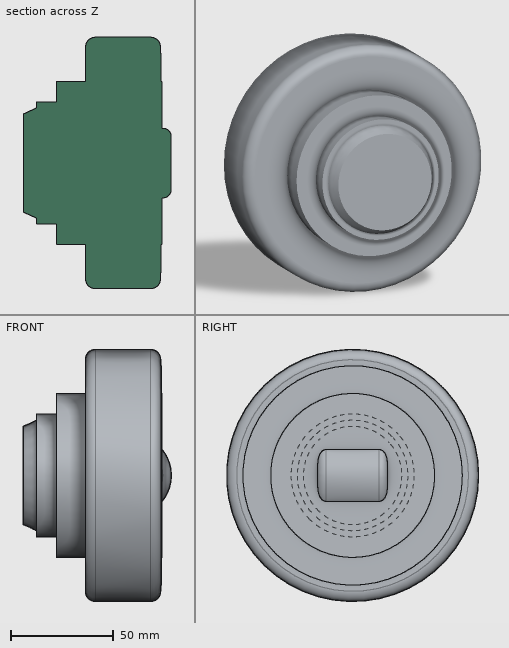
import cadquery as cq
import math

NOSE_TIP_RADIUS = 24.0
NOSE_BASE_RADIUS = 27.0
NECK_RADIUS = 30.0
SHOULDER_RADIUS = 40.0
WHEEL_RADIUS = 61.5
WHEEL_ROUND = 5.0

NOSE_LENGTH = 6.5
NECK_LENGTH = 9.7
SHOULDER_LENGTH = 14.1
WHEEL_WIDTH = 36.8

OUTER_PAD_RADIUS = 53.5
OUTER_PAD_HEIGHT = 0.3
INNER_PAD_RADIUS = 40.0
INNER_PAD_HEIGHT = 0.4

TOTAL_LENGTH = 72.3
BAR_ARC_RADIUS = 20.0
BAR_LENGTH = 34.2
BAR_END_ROUND = 4.2

neck_x = NOSE_LENGTH
shoulder_x = neck_x + NECK_LENGTH
wheel_x = shoulder_x + SHOULDER_LENGTH
wheel_end_x = wheel_x + WHEEL_WIDTH
wheel_face_radius = WHEEL_RADIUS - WHEEL_ROUND
inner_pad_x = wheel_end_x + OUTER_PAD_HEIGHT
inner_pad_end_x = inner_pad_x + INNER_PAD_HEIGHT


def turned_body():
    """Stepped hub and round-edged wheel with two shallow pads on its +X face."""
    round_inset = WHEEL_ROUND * (1 - math.sqrt(0.5))
    profile = (
        cq.Workplane("XY")
        .moveTo(0, 0)
        .lineTo(0, NOSE_TIP_RADIUS)
        .lineTo(neck_x, NOSE_BASE_RADIUS)
        .lineTo(neck_x, NECK_RADIUS)
        .lineTo(shoulder_x, NECK_RADIUS)
        .lineTo(shoulder_x, SHOULDER_RADIUS)
        .lineTo(wheel_x, SHOULDER_RADIUS)
        .lineTo(wheel_x, wheel_face_radius)
        .threePointArc(
            (wheel_x + round_inset, WHEEL_RADIUS - round_inset),
            (wheel_x + WHEEL_ROUND, WHEEL_RADIUS),
        )
        .lineTo(wheel_end_x - WHEEL_ROUND, WHEEL_RADIUS)
        .threePointArc(
            (wheel_end_x - round_inset, WHEEL_RADIUS - round_inset),
            (wheel_end_x, wheel_face_radius),
        )
        .lineTo(wheel_end_x, OUTER_PAD_RADIUS)
        .lineTo(inner_pad_x, OUTER_PAD_RADIUS)
        .lineTo(inner_pad_x, INNER_PAD_RADIUS)
        .lineTo(inner_pad_end_x, INNER_PAD_RADIUS)
        .lineTo(inner_pad_end_x, 0)
        .close()
    )
    return profile.revolve(360, (0, 0, 0), (1, 0, 0))


def raised_bar():
    """Barrel along Y with rounded rims; only its crest stands proud of the inner pad."""
    axis_x = TOTAL_LENGTH - BAR_ARC_RADIUS
    barrel = (
        cq.Workplane("XZ", origin=(axis_x, BAR_LENGTH / 2, 0))
        .circle(BAR_ARC_RADIUS)
        .extrude(BAR_LENGTH)
    )
    return barrel.edges("%CIRCLE").fillet(BAR_END_ROUND)


result = turned_body().union(raised_bar())